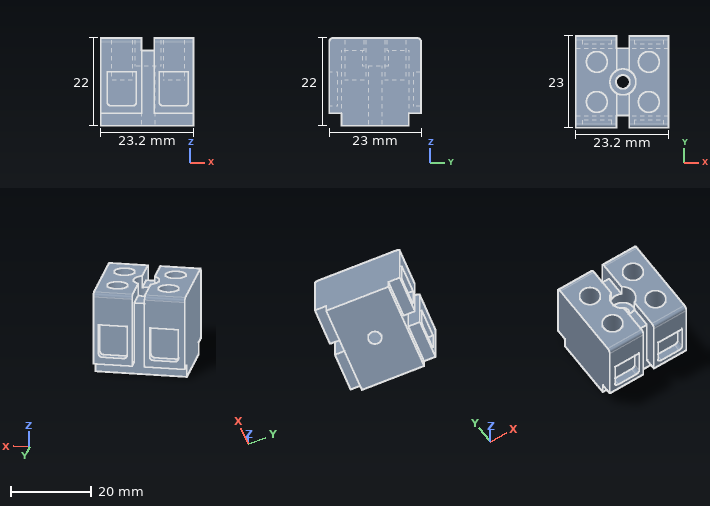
import cadquery as cq

length = 23.2
width = 23.0
height = 22.0
edge_radius = 1.0

foot_height = 3.13
core_width = 16.85
web_drop = 3.13

left_block_length = 10.2
slot_width = 3.15
slot_x = -length / 2 + left_block_length + slot_width / 2

mount_diameter = 3.39
counterbore_diameter = 6.5
counterbore_depth = 6.95

well_diameter = 5.2
well_depth = 10.45
well_spacing_x = 13.0
well_spacing_y = 10.0
left_well_x = -6.33
well_columns = (left_well_x, left_well_x + well_spacing_x)

pocket_length = 7.3
pocket_bottom = 5.0
pocket_height = 8.58
pocket_depth = 2.0
pocket_radius = 1.0


def centred_box(size_x, size_y, size_z, x, base_z):
    """Box centred on (x, 0), standing on base_z."""
    return cq.Workplane("XY").box(size_x, size_y, size_z, centered=(True, True, False)).translate((x, 0, base_z))


def make_body():
    """Two rounded terminal blocks joined by a web on a common foot."""
    blocks = centred_box(length, width, height - foot_height, 0, foot_height)
    blocks = blocks.edges("|X and >Z").fillet(edge_radius)
    slot = centred_box(slot_width, width, height, slot_x, 0)
    foot = centred_box(length, core_width, foot_height, 0, 0)
    web = centred_box(slot_width, core_width, height - web_drop, slot_x, 0)
    return blocks.cut(slot).union(foot).union(web)


def cut_mounting_hole(body):
    """Counterbored through hole in the middle of the slot."""
    return (
        body.faces(">Z").workplane(origin=(slot_x, 0, height))
        .cboreHole(mount_diameter, counterbore_diameter, counterbore_depth)
    )


def make_well(x, y):
    """Blind round well sunk from the top."""
    return cq.Workplane("XY", origin=(x, y, height)).circle(well_diameter / 2).extrude(-well_depth)


def make_pocket(x, side):
    """Wire-entry pocket with rounded lower corners; side is -1 for the -Y face, +1 for +Y."""
    pocket = centred_box(pocket_length, pocket_depth, pocket_height, x, pocket_bottom)
    pocket = pocket.edges("|Y and <Z").fillet(pocket_radius)
    return pocket.translate((0, side * (width - pocket_depth) / 2, 0))


result = cut_mounting_hole(make_body())
for column_x in well_columns:
    for side in (-1, 1):
        result = result.cut(make_well(column_x, side * well_spacing_y / 2))
        result = result.cut(make_pocket(column_x, side))